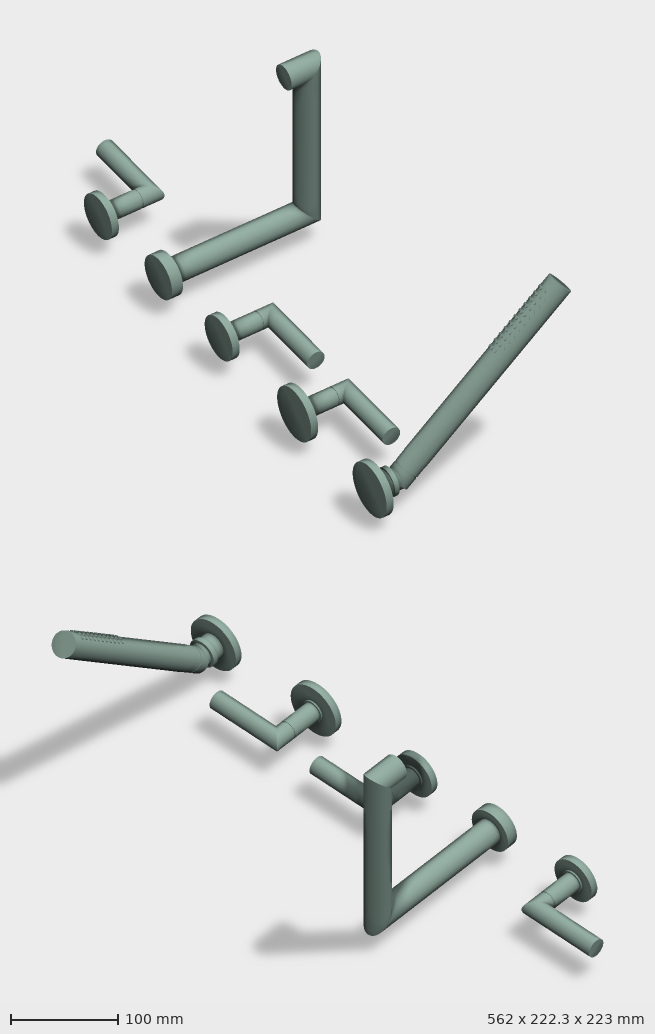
import cadquery as cq
import math

overall_length = 562
far_pitch = 127.0
near_pitch = far_pitch * 4 / 5
left_lever_x = -near_pitch
middle_lever_x = near_pitch
right_lever_x = middle_lever_x + far_pitch
shower_x = right_lever_x + far_pitch

small_flange_radius = 23.5
large_flange_radius = 28.5
flange_thickness = 8.0

lever_diameter = 19.5
lever_radius = lever_diameter / 2
lever_axis_y = 58.5
lever_reach = overall_length - large_flange_radius - (shower_x - left_lever_x)
lever_collar_radius = 12.0
lever_collar_top = 9.5
lever_groove_y = 44.0
groove_width = 1.5
groove_depth = 0.5

spout_flange_radius = 23.0
spout_flange_thickness = 12.5
spout_diameter = 26.5
spout_radius = spout_diameter / 2
spout_axis_y = 167.0
spout_top = 194.5
spout_tip_y = 141.0

holder_cap_bottom = 18.5
holder_cap_top = 23.5
holder_cap_radius = 15.0
neck_radius = 12.0
wand_diameter = 26.5
wand_radius = wand_diameter / 2
holder_radius = wand_radius
wand_tilt = 40.5
wand_pivot_y = 33.5
wand_start = -5.0
wand_end = 237.0
socket_end = 22.5
socket_radius = 13.0
wand_groove_station = 9.5

nozzle_rows = 11
nozzle_row_pitch = 7.5
first_nozzle_station = 150.0
nozzle_angles = (-30, -10, 10, 30)
nozzle_radius = 1.5
nozzle_protrusion = 1.0


def rod(start, direction, length, radius):
    """Solid cylinder from a start point along a direction."""
    return cq.Workplane(cq.Solid.makeCylinder(radius, length, cq.Vector(*start), cq.Vector(*direction)))


def y_disc(x, y_start, y_end, radius):
    """Cylinder along Y, centred on the fitting axis at x."""
    return rod((x, y_start, 0), (0, 1, 0), y_end - y_start, radius)


def mitred_tube(points, radius):
    """Round bar following straight runs with sharp mitred corners."""
    path = cq.Workplane("XY").add(cq.Wire.makePolygon([cq.Vector(*p) for p in points]))
    heading = cq.Vector(*points[1]) - cq.Vector(*points[0])
    start_plane = cq.Plane(origin=points[0], normal=heading.toTuple())
    return cq.Workplane(start_plane).circle(radius).sweep(path, transition="right")


def make_lever(x, side, flange_radius):
    """Lever handle whose arm points along X towards side (+1 or -1)."""
    bar = mitred_tube([(x, 0, 0), (x, lever_axis_y, 0), (x + side * lever_reach, lever_axis_y, 0)], lever_radius)
    flange = y_disc(x, 0, flange_thickness, flange_radius)
    collar = y_disc(x, 0, lever_collar_top, lever_collar_radius)
    groove_start = lever_groove_y - groove_width / 2
    groove_end = lever_groove_y + groove_width / 2
    groove = y_disc(x, groove_start, groove_end, lever_radius + groove_depth).cut(
        y_disc(x, groove_start, groove_end, lever_radius - groove_depth))
    return bar.union(flange).union(collar).cut(groove)


def make_spout():
    upper_axis_z = spout_top - spout_radius
    bar = mitred_tube(
        [(0, 0, 0), (0, spout_axis_y, 0), (0, spout_axis_y, upper_axis_z), (0, spout_tip_y, upper_axis_z)],
        spout_radius,
    )
    return bar.union(y_disc(0, 0, spout_flange_thickness, spout_flange_radius))


def wand_point(station):
    angle = math.radians(wand_tilt)
    return (shower_x, wand_pivot_y + station * math.cos(angle), station * math.sin(angle))


def wand_rod(start, end, radius):
    angle = math.radians(wand_tilt)
    return rod(wand_point(start), (0, math.cos(angle), math.sin(angle)), end - start, radius)


def make_wand():
    wand = wand_rod(wand_start, socket_end, socket_radius).union(wand_rod(socket_end, wand_end, wand_radius))
    start = wand_groove_station - groove_width / 2
    end = wand_groove_station + groove_width / 2
    groove = wand_rod(start, end, socket_radius + groove_depth).cut(
        wand_rod(start, end, socket_radius - groove_depth))
    return wand.cut(groove)


def make_nozzles():
    tilt = math.radians(wand_tilt)
    pins = []
    for row in range(nozzle_rows):
        base = wand_point(first_nozzle_station + row * nozzle_row_pitch)
        for degrees in nozzle_angles:
            turn = math.radians(degrees)
            outward = (math.sin(turn), -math.cos(turn) * math.sin(tilt), math.cos(turn) * math.cos(tilt))
            pins.append(rod(base, outward, wand_radius + nozzle_protrusion, nozzle_radius))
    return pins


def make_hand_shower():
    body = y_disc(shower_x, 0, flange_thickness, large_flange_radius)
    body = body.union(y_disc(shower_x, 0, holder_cap_bottom, holder_radius))
    body = body.union(y_disc(shower_x, holder_cap_bottom, holder_cap_top, holder_cap_radius))
    body = body.union(y_disc(shower_x, holder_cap_top, wand_pivot_y, neck_radius))
    body = body.union(make_wand())
    for pin in make_nozzles():
        body = body.union(pin)
    return body


left_lever = make_lever(left_lever_x, -1, small_flange_radius)
spout = make_spout()
middle_lever = make_lever(middle_lever_x, 1, small_flange_radius)
right_lever = make_lever(right_lever_x, 1, large_flange_radius)
hand_shower = make_hand_shower()

result = cq.Compound.makeCompound(
    [left_lever.val(), spout.val(), middle_lever.val(), right_lever.val(), hand_shower.val()]
)